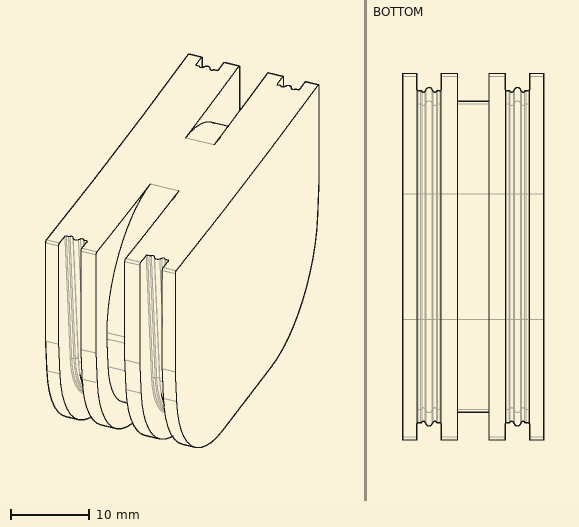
import cadquery as cq
import math

length = 46.75
thickness = 18.0
height = 33.9

top_dip = 0.35
top_edge_radius = 0.3
bend_height = 18.5
lean_angle = 5.0
corner_radius = 15.0

channel_inset = 3.5
slot_width = 3.95
rib_width = 2.1
groove_width = 3.1
groove_offset = (slot_width + groove_width) / 2 + rib_width
slot_end_radius = 14.1

bead_radius = 0.4
bead_height = 0.395
flute_radius = 0.25
flute_depth = 0.21
flank_angle = math.radians(60)
groove_corner_radius = 0.15

clearance = 2.35
lean = math.radians(lean_angle)
half_length = length / 2

tangent_height = corner_radius * (1 - math.sin(lean))
tangent_y = half_length - (bend_height - tangent_height) * math.tan(lean)
corner_center_y = tangent_y - corner_radius * math.cos(lean)

top_radius = (half_length**2 + top_dip**2) / (2 * top_dip)


def top_height(y):
    """Height of the hollow top surface at a given Y."""
    lowest = height - top_dip
    return lowest + top_radius - math.sqrt(top_radius**2 - y**2)


def corner_point(angle, inset):
    """Point (Y, Z) on the +Y corner arc, moved inward; the angle is measured below horizontal."""
    radius = corner_radius - inset
    return (
        corner_center_y + radius * math.cos(angle),
        corner_radius - radius * math.sin(angle),
    )


def bend_point(inset):
    """Point (Y, Z) on the +Y side where the upright part meets the leaning part."""
    return half_length - inset / math.cos(lean), bend_height


def groove_start():
    """Point (Y, Z) above the top, on the leaning groove floor continued straight up."""
    y, z = bend_point(channel_inset)
    z_start = height + clearance
    return y + (z_start - z) * math.tan(lean), z_start


def mirrored(point):
    """The same point on the -Y side."""
    return -point[0], point[1]


def trace_bottom(sketch, inset):
    """From the +Y side, go down the lean, round both corners and up to the -Y lean."""
    middle_angle = (lean + math.pi / 2) / 2
    lean_end = corner_point(lean, inset)
    arc_middle = corner_point(middle_angle, inset)
    arc_end = corner_point(math.pi / 2, inset)
    return (
        sketch.lineTo(*lean_end)
        .threePointArc(arc_middle, arc_end)
        .lineTo(*mirrored(arc_end))
        .threePointArc(mirrored(arc_middle), mirrored(lean_end))
    )


def make_body():
    top_corner = (half_length, height)
    bend = bend_point(0)
    sketch = cq.Workplane("YZ").moveTo(*top_corner).lineTo(*bend)
    sketch = trace_bottom(sketch, 0).lineTo(*mirrored(bend)).lineTo(*mirrored(top_corner))
    sketch = sketch.threePointArc((0, height - top_dip), top_corner).close()
    body = sketch.extrude(thickness / 2, both=True)
    top_end_edges = body.faces(">Y or <Y").edges(">Z")
    return top_end_edges.fillet(top_edge_radius)


def make_slot_cutter():
    """Block as wide as the middle slot, minus the core of the part that the slot leaves standing."""
    bend = bend_point(channel_inset)
    arc_center_y = bend[0] - slot_end_radius
    runout = (arc_center_y, top_height(arc_center_y))
    arc_center_z = runout[1] - slot_end_radius
    diagonal = slot_end_radius * math.sqrt(0.5)
    arc_start = (bend[0], arc_center_z)
    arc_middle = (arc_center_y + diagonal, arc_center_z + diagonal)
    crown = (arc_center_y, height + clearance)

    core = cq.Workplane("YZ").moveTo(*crown).lineTo(*runout).threePointArc(arc_middle, arc_start)
    core = trace_bottom(core.lineTo(*bend), channel_inset).lineTo(*mirrored(bend))
    core = core.lineTo(*mirrored(arc_start)).threePointArc(mirrored(arc_middle), mirrored(runout))
    core = core.lineTo(*mirrored(crown)).close().extrude(slot_width / 2, both=True)

    block_height = height + 2 * clearance
    block = cq.Workplane("XY").workplane(offset=-clearance)
    block = block.rect(slot_width, length + 2 * clearance).extrude(block_height)
    return block.cut(core)


def arc_point(center, radius, angle):
    """Point on a circle, with the angle measured from local up towards local +x."""
    return center[0] + radius * math.sin(angle), center[1] + radius * math.cos(angle)


def trace_half_floor(sketch):
    """From the top of the bead over the flank, flute, lip and floor to the +x wall."""
    bead_center = (0, bead_height - bead_radius)
    bead_end = arc_point(bead_center, bead_radius, flank_angle)

    flute_center_y = flute_radius - flute_depth
    flank_foot_y = flute_center_y - flute_radius * math.cos(flank_angle)
    flank_foot_x = bead_end[0] + (bead_end[1] - flank_foot_y) / math.tan(flank_angle)
    flute_reach = flute_radius * math.sin(flank_angle)
    flute_center_x = flank_foot_x + flute_reach
    flute_end = (flute_center_x + flute_reach, flank_foot_y)

    lip_radius = -flank_foot_y / (1 - math.cos(flank_angle))
    lip_center = (flute_end[0] + lip_radius * math.sin(flank_angle), -lip_radius)

    wall_x = groove_width / 2
    corner_center = (wall_x - groove_corner_radius, groove_corner_radius)
    return (
        sketch.threePointArc(arc_point(bead_center, bead_radius, flank_angle / 2), bead_end)
        .lineTo(flank_foot_x, flank_foot_y)
        .threePointArc((flute_center_x, -flute_depth), flute_end)
        .threePointArc(arc_point(lip_center, lip_radius, -flank_angle / 2), (lip_center[0], 0))
        .lineTo(corner_center[0], 0)
        .threePointArc(
            arc_point(corner_center, groove_corner_radius, math.radians(135)),
            (wall_x, groove_corner_radius),
        )
    )


def make_groove_cutter():
    """Groove cross-section, with bead and flutes on its floor, swept around the rim."""
    start = groove_start()
    path = trace_bottom(cq.Workplane("YZ").moveTo(*start), channel_inset).lineTo(*mirrored(start))

    section_plane = cq.Plane(
        origin=(0, *start),
        xDir=(1, 0, 0),
        normal=(0, math.sin(lean), math.cos(lean)),
    )
    mouth = channel_inset + clearance
    half_section = cq.Workplane(section_plane).moveTo(0, bead_height)
    half_section = trace_half_floor(half_section).lineTo(groove_width / 2, mouth).lineTo(0, mouth)
    return half_section.mirrorY().sweep(path)


result = make_body().cut(make_slot_cutter())
groove_cutter = make_groove_cutter()
for side in (-1, 1):
    result = result.cut(groove_cutter.translate((side * groove_offset, 0, 0)))